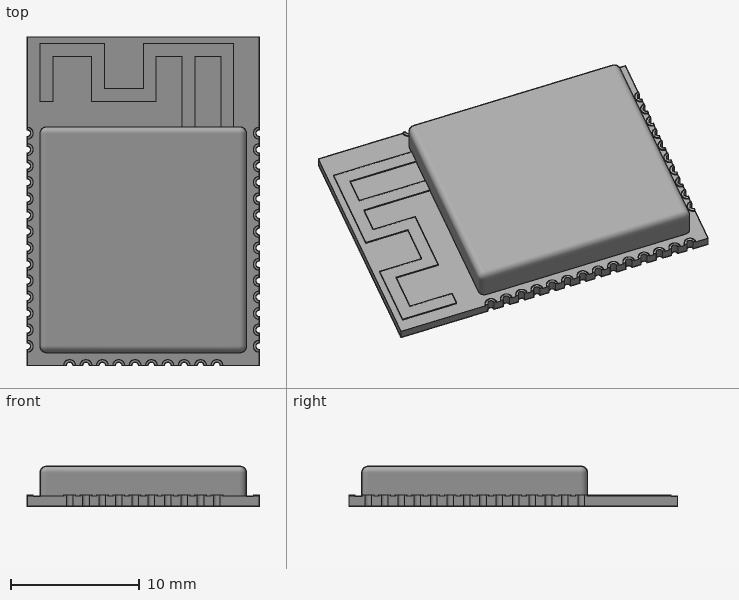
import cadquery as cq

board_width = 18.0
board_length = 25.5
board_thickness = 0.8
overall_height = 3.1
copper_thickness = 0.1

shield_margin = 1.0
shield_length = 17.52
shield_radius = 0.5

pad_radius = 0.45
hole_radius = 0.25
side_pad_count = 14
side_pad_span = 16.52
side_pad_inset = 1.5
front_pad_count = 10
front_pad_span = 11.42

trace_width = 1.0
antenna_left_margin = 1.0
antenna_back_margin = 0.5
antenna_front_margin = 5.0
meander_gap = 3.0
feed_gap = 2.01

half_width = board_width / 2
half_length = board_length / 2
shield_front = -half_length + shield_margin
shield_back = shield_front + shield_length


def row_positions(first, span, count):
    """Evenly spaced coordinates, starting at first and covering span."""
    return [first + span * i / (count - 1) for i in range(count)]


def edge_pad_centres():
    """Pad centres along the left, right and front board edges."""
    centres = []
    for y in row_positions(-half_length + side_pad_inset, side_pad_span, side_pad_count):
        centres.append((-half_width, y))
        centres.append((half_width, y))
    for x in row_positions(-front_pad_span / 2, front_pad_span, front_pad_count):
        centres.append((x, -half_length))
    return centres


def make_plate(bottom, height):
    """Slab with the outline of the board."""
    return (
        cq.Workplane("XY")
        .workplane(offset=bottom)
        .rect(board_width, board_length)
        .extrude(height)
    )


def make_pads(centres):
    """Raised copper half discs, trimmed to the board outline."""
    discs = (
        cq.Workplane("XY")
        .workplane(offset=board_thickness)
        .pushPoints(centres)
        .circle(pad_radius)
        .extrude(copper_thickness)
    )
    return discs.intersect(make_plate(board_thickness, copper_thickness))


def make_holes(centres):
    """Cutters for the half holes through the board and pads."""
    return (
        cq.Workplane("XY")
        .pushPoints(centres)
        .circle(hole_radius)
        .extrude(board_thickness + copper_thickness)
    )


def make_trace(left, right, front, back):
    """Rectangular stretch of raised copper."""
    return (
        cq.Workplane("XY")
        .workplane(offset=board_thickness)
        .moveTo((left + right) / 2, (front + back) / 2)
        .rect(right - left, back - front)
        .extrude(copper_thickness)
    )


def make_antenna():
    """Meander of five legs; the last two run to the shield."""
    back = half_length - antenna_back_margin
    front = half_length - antenna_front_margin
    legs = [-half_width + antenna_left_margin]
    for gap in (meander_gap, meander_gap, feed_gap, feed_gap):
        legs.append(legs[-1] + trace_width + gap)
    leg_fronts = [front, front, front, shield_back, shield_back]

    antenna = make_trace(legs[0], legs[1] + trace_width, back - trace_width, back)
    antenna = antenna.union(make_trace(legs[1], legs[2] + trace_width, front, front + trace_width))
    antenna = antenna.union(make_trace(legs[2], legs[4] + trace_width, back - trace_width, back))
    for left, leg_front in zip(legs, leg_fronts):
        antenna = antenna.union(make_trace(left, left + trace_width, leg_front, back))
    return antenna


def make_shield():
    """Solid can with rounded upright corners and a rounded top rim."""
    return (
        cq.Workplane("XY")
        .workplane(offset=board_thickness)
        .center(0, (shield_front + shield_back) / 2)
        .rect(board_width - 2 * shield_margin, shield_length)
        .extrude(overall_height - board_thickness)
        .edges("|Z or >Z")
        .fillet(shield_radius)
    )


pad_centres = edge_pad_centres()
result = (
    make_plate(0, board_thickness)
    .union(make_pads(pad_centres))
    .cut(make_holes(pad_centres))
    .union(make_antenna())
    .union(make_shield())
)